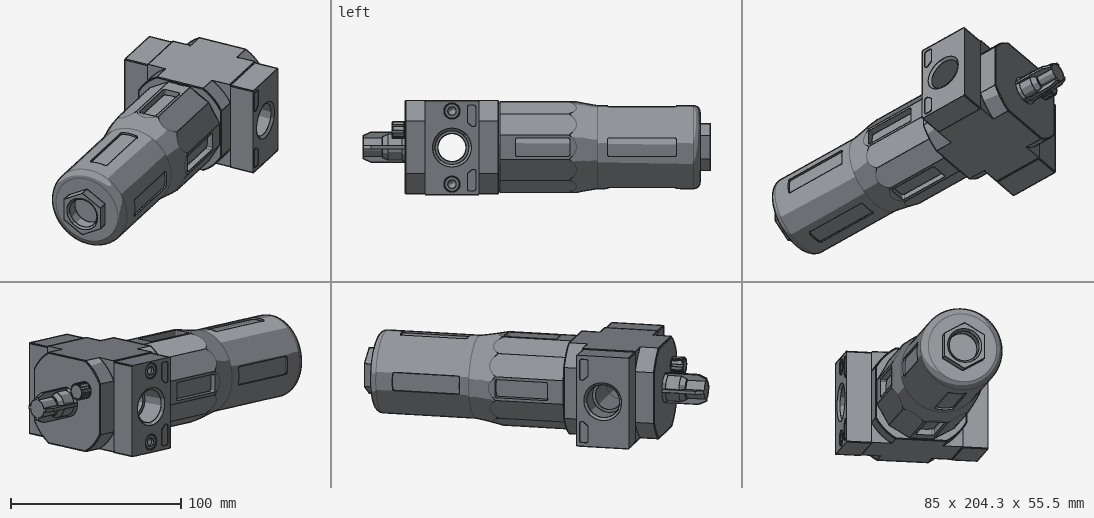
import cadquery as cq
import math


HOUSING_SIZE = 55.0
HOUSING_CORNER_RADIUS = 31.5
HOUSING_END_CHAMFER = 0.5
HOUSING_SIDE_CHAMFER = 0.5
FLOW_BORE_DIAMETER = 16.4
SPIGOT_DIAMETER = 52.0
SPIGOT_LENGTH = 0.6

PLATE_SPAN = 85.0
PLATE_WIDTH = 32.0
PLATE_HEIGHT = 55.0
PLATE_DROP = 0.5
PLATE_CHAMFER = 0.5
PORT_DROP = 0.25
PORT_DIAMETER = 19.8
PORT_CHAMFER = 1.5
SCREW_PITCH = 43.0
SCREW_HOLE_DIAMETER = 9.5
LABEL_DEPTH = 0.3
LABEL_NEAR_Y = -9.0
LABEL_FAR_Y = -14.0
LABEL_INNER_Z = 12.5
LABEL_OUTER_Z = 25.2
LABEL_SLOPE_RISE = 2.6
LABEL_SLOPE_END_Y = -12.0
LABEL_CORNER_RADIUS = 1.2

SCREW_HEAD_DIAMETER = 8.5
SCREW_HEAD_RECESS = 0.4
SCREW_HEAD_HEIGHT = 5.0
SCREW_SOCKET_DIAMETER = 5.0
SCREW_SOCKET_DEPTH = 1.5
DRILL_POINT_ANGLE = 118.0

GUARD_SIDES = 12
GUARD_ACROSS_FLATS = 53.4
GUARD_DIAMETER = 49.0
BOWL_DIAMETER = 46.7
TAPER_START_Y = -68.9
TAPER_END_Y = -85.7
TAPER_MID_RADIUS = 25.9
GUARD_BOTTOM_Y = -146.0
GUARD_BOTTOM_FILLET = 4.0
GUARD_FLOOR = 2.0
BOWL_FILLET = 3.0
WINDOW_WIDTH = 11.0
WINDOW_CORNER_RADIUS = 1.2
WINDOW_SPANS = [(-69.3, -37.3), (-132.0, -91.4)]
HEX_ACROSS_FLATS = 24.0
HEX_TURN = 30.0
HEX_HEIGHT = 6.0
DRAIN_DIAMETER = 18.0
DRAIN_CHAMFER = 1.2

DOME_TIP_Y = 52.3
DOME_TIP_DIAMETER = 11.0
DOME_STEP_Y = 41.2
DOME_SHOULDER_DIAMETER = 12.4
DOME_SHOULDER_Y = 40.8
DOME_BODY_DIAMETER = 15.5
DOME_CONE_END_Y = 37.5
DOME_FLARE_Y = 29.4
DOME_FLARE_DIAMETER = 17.5
FIN_SPAN = 17.8
FIN_TIP_SPAN = 13.6
FIN_SLOPE_END_Y = 47.6
FIN_THICKNESS = 1.9

PLUG_X = -15.75
PLUG_Z = 10.0
PLUG_DIAMETER = 10.0
PLUG_NECK_DIAMETER = 8.5
PLUG_NECK_LENGTH = 0.6
PLUG_TIP_Y = 35.4
PLUG_CHAMFER = 0.6
GROOVE_COUNT = 8
GROOVE_TURN = 12.0
GROOVE_WIDTH = 1.5
GROOVE_BASE_LIP = 0.4

HALF_HOUSING = HOUSING_SIZE / 2
GUARD_TOP_Y = -HALF_HOUSING - SPIGOT_LENGTH
GUARD_CORNER_RADIUS = GUARD_ACROSS_FLATS / 2 / math.cos(math.pi / GUARD_SIDES)
BOWL_BOTTOM_Y = GUARD_BOTTOM_Y + GUARD_FLOOR


def rod(diameter, start_y, end_y):
    """Round rod on the Y axis."""
    plane = cq.Plane(origin=(0, start_y, 0), xDir=(1, 0, 0), normal=(0, 1, 0))
    return cq.Workplane(plane).circle(diameter / 2).extrude(end_y - start_y)


def prism(sides, across_flats, start_y, end_y, turn):
    """Regular prism along Y, turned by an angle in degrees about its axis."""
    plane = cq.Plane(origin=(0, start_y, 0), xDir=(1, 0, 0), normal=(0, 1, 0))
    corner_diameter = across_flats / math.cos(math.pi / sides)
    blank = cq.Workplane(plane).polygon(sides, corner_diameter).extrude(end_y - start_y)
    return blank.rotate((0, 0, 0), (0, 1, 0), turn)


def make_housing():
    """Square block with rounded corners at both ends and a spigot for the guard."""
    ends = cq.Workplane("XY").box(HOUSING_SIZE, HOUSING_SIZE, HOUSING_SIZE)
    ends = ends.intersect(rod(2 * HOUSING_CORNER_RADIUS, -HALF_HOUSING, HALF_HOUSING))
    ends = ends.faces("<Y or >Y").chamfer(HOUSING_END_CHAMFER)
    middle = cq.Workplane("XY").box(HOUSING_SIZE, PLATE_WIDTH, HOUSING_SIZE)
    middle = middle.edges("|Y").chamfer(HOUSING_SIDE_CHAMFER)
    spigot = rod(SPIGOT_DIAMETER, GUARD_TOP_Y, 0)
    bore = cq.Workplane("YZ", origin=(0, 0, -PORT_DROP))
    bore = bore.circle(FLOW_BORE_DIAMETER / 2).extrude(HALF_HOUSING, both=True)
    return ends.union(middle).union(spigot).cut(bore)


def label_pocket(outer_x, side):
    """Shallow label recess; side is 1 above the port and -1 below it."""
    slope_start_z = LABEL_INNER_Z + LABEL_SLOPE_RISE
    outline = [
        (LABEL_NEAR_Y, LABEL_OUTER_Z),
        (LABEL_FAR_Y, LABEL_OUTER_Z),
        (LABEL_FAR_Y, LABEL_INNER_Z),
        (LABEL_SLOPE_END_Y, LABEL_INNER_Z),
        (LABEL_NEAR_Y, slope_start_z),
    ]
    pocket = cq.Workplane("YZ", origin=(outer_x, 0, 0))
    pocket = pocket.polyline([(y, side * z) for y, z in outline]).close().extrude(LABEL_DEPTH)
    return pocket.edges("|X").fillet(LABEL_CORNER_RADIUS)


def make_port_plate():
    """Connection plate on the -X side, without its screw holes."""
    outer_x = -PLATE_SPAN / 2
    thickness = PLATE_SPAN / 2 - HALF_HOUSING
    face = cq.Workplane("YZ", origin=(outer_x, 0, 0))
    plate = face.rect(PLATE_WIDTH, PLATE_HEIGHT).extrude(thickness)
    plate = plate.edges("|X").chamfer(PLATE_CHAMFER)
    port_face = face.center(0, PLATE_DROP - PORT_DROP)
    port = port_face.circle(PORT_DIAMETER / 2).extrude(thickness)
    mouth = port_face.circle(PORT_DIAMETER / 2 + PORT_CHAMFER).extrude(PORT_CHAMFER, taper=45)
    plate = plate.cut(port).cut(mouth)
    for side in (1, -1):
        plate = plate.cut(label_pocket(outer_x, side))
    return plate.translate((0, 0, -PLATE_DROP))


def make_screw(z):
    """Sunk screw head with a drilled socket, at a given height."""
    top_x = -PLATE_SPAN / 2 + SCREW_HEAD_RECESS
    plane = cq.Workplane("YZ", origin=(top_x, 0, z))
    head = plane.circle(SCREW_HEAD_DIAMETER / 2).extrude(SCREW_HEAD_HEIGHT)
    socket = plane.circle(SCREW_SOCKET_DIAMETER / 2).extrude(SCREW_SOCKET_DEPTH)
    point_depth = SCREW_SOCKET_DIAMETER / 2 / math.tan(math.radians(DRILL_POINT_ANGLE / 2))
    point = cq.Solid.makeCone(
        SCREW_SOCKET_DIAMETER / 2, 0, point_depth,
        pnt=cq.Vector(top_x + SCREW_SOCKET_DEPTH, 0, z), dir=cq.Vector(1, 0, 0),
    )
    return head.cut(socket).cut(cq.Workplane(point))


def screw_hole(z):
    """Blind hole that the screw head sits in, at a given height."""
    depth = SCREW_HEAD_RECESS + SCREW_HEAD_HEIGHT
    plane = cq.Workplane("YZ", origin=(-PLATE_SPAN / 2, 0, z))
    return plane.circle(SCREW_HOLE_DIAMETER / 2).extrude(depth)


def window_cutters(low_y, high_y):
    """Two crossed bars that open a window on all four sides."""
    bar = cq.Workplane("XY").box(WINDOW_WIDTH, high_y - low_y, 2 * GUARD_ACROSS_FLATS)
    bar = bar.edges("|Z").fillet(WINDOW_CORNER_RADIUS).translate((0, (low_y + high_y) / 2, 0))
    return bar.union(bar.rotate((0, 0, 0), (0, 1, 0), 90))


def make_guard():
    """Twelve-sided guard that tapers to a round sleeve and ends in a drain hexagon."""
    faceted = prism(GUARD_SIDES, GUARD_ACROSS_FLATS, GUARD_BOTTOM_Y, GUARD_TOP_Y, 180 / GUARD_SIDES)
    taper_middle = (TAPER_MID_RADIUS, (TAPER_START_Y + TAPER_END_Y) / 2)
    envelope = (
        cq.Workplane("XY")
        .moveTo(0, GUARD_TOP_Y)
        .lineTo(GUARD_CORNER_RADIUS, GUARD_TOP_Y)
        .lineTo(GUARD_CORNER_RADIUS, TAPER_START_Y)
        .threePointArc(taper_middle, (GUARD_DIAMETER / 2, TAPER_END_Y))
        .lineTo(GUARD_DIAMETER / 2, GUARD_BOTTOM_Y)
        .lineTo(0, GUARD_BOTTOM_Y)
        .close()
        .revolve(360, (0, 0, 0), (0, 1, 0))
    )
    envelope = envelope.faces("<Y").edges().fillet(GUARD_BOTTOM_FILLET)
    guard = faceted.intersect(envelope)
    hex_end_y = GUARD_BOTTOM_Y - HEX_HEIGHT
    guard = guard.union(prism(6, HEX_ACROSS_FLATS, hex_end_y, GUARD_BOTTOM_Y, HEX_TURN))
    guard = guard.cut(make_bowl())
    for low_y, high_y in WINDOW_SPANS:
        guard = guard.cut(window_cutters(low_y, high_y))
    guard = guard.cut(rod(DRAIN_DIAMETER, hex_end_y, BOWL_BOTTOM_Y))
    mouth = cq.Solid.makeCone(
        DRAIN_DIAMETER / 2 + DRAIN_CHAMFER, DRAIN_DIAMETER / 2, DRAIN_CHAMFER,
        pnt=cq.Vector(0, hex_end_y, 0), dir=cq.Vector(0, 1, 0),
    )
    return guard.cut(cq.Workplane(mouth))


def make_bowl():
    """Inner bowl that shows through the guard windows."""
    blank = rod(BOWL_DIAMETER, BOWL_BOTTOM_Y, GUARD_TOP_Y)
    return blank.faces("<Y").edges().fillet(BOWL_FILLET)


def make_dome():
    """Stepped round sight dome with four fins."""
    core = (
        cq.Workplane("XY")
        .moveTo(0, HALF_HOUSING)
        .lineTo(DOME_FLARE_DIAMETER / 2, HALF_HOUSING)
        .lineTo(DOME_BODY_DIAMETER / 2, DOME_FLARE_Y)
        .lineTo(DOME_BODY_DIAMETER / 2, DOME_CONE_END_Y)
        .lineTo(DOME_SHOULDER_DIAMETER / 2, DOME_SHOULDER_Y)
        .lineTo(DOME_TIP_DIAMETER / 2, DOME_STEP_Y)
        .lineTo(DOME_TIP_DIAMETER / 2, DOME_TIP_Y)
        .lineTo(0, DOME_TIP_Y)
        .close()
        .revolve(360, (0, 0, 0), (0, 1, 0))
    )
    fin_pair = (
        cq.Workplane("XY")
        .moveTo(-FIN_SPAN / 2, HALF_HOUSING)
        .lineTo(FIN_SPAN / 2, HALF_HOUSING)
        .lineTo(FIN_SPAN / 2, FIN_SLOPE_END_Y)
        .lineTo(FIN_TIP_SPAN / 2, DOME_TIP_Y)
        .lineTo(-FIN_TIP_SPAN / 2, DOME_TIP_Y)
        .lineTo(-FIN_SPAN / 2, FIN_SLOPE_END_Y)
        .close()
        .extrude(FIN_THICKNESS / 2, both=True)
    )
    return core.union(fin_pair).union(fin_pair.rotate((0, 0, 0), (0, 1, 0), 90))


def make_plug():
    """Grooved filler plug beside the dome."""
    head_start_y = HALF_HOUSING + PLUG_NECK_LENGTH
    head = rod(PLUG_DIAMETER, head_start_y, PLUG_TIP_Y).faces(">Y").chamfer(PLUG_CHAMFER)
    groove_start_y = head_start_y + GROOVE_BASE_LIP
    groove_depth = (PLUG_DIAMETER - PLUG_NECK_DIAMETER) / 2
    groove = cq.Workplane("XY").box(2 * groove_depth, PLUG_TIP_Y - groove_start_y, GROOVE_WIDTH)
    groove = groove.translate((PLUG_DIAMETER / 2, (groove_start_y + PLUG_TIP_Y) / 2, 0))
    for index in range(GROOVE_COUNT):
        angle = -GROOVE_TURN - index * 360 / GROOVE_COUNT
        head = head.cut(groove.rotate((0, 0, 0), (0, 1, 0), angle))
    neck = rod(PLUG_NECK_DIAMETER, HALF_HOUSING, head_start_y)
    return head.union(neck).translate((PLUG_X, 0, PLUG_Z))


housing = make_housing()
left_plate = make_port_plate()
right_plate = left_plate.mirror("YZ")
screw_heights = [sign * SCREW_PITCH / 2 - PORT_DROP for sign in (1, -1)]
screws = [make_screw(z) for z in screw_heights]
for z in screw_heights:
    left_plate = left_plate.cut(screw_hole(z))
guard = make_guard()
bowl = make_bowl()
dome = make_dome()
plug = make_plug()

result = cq.Compound.makeCompound([
    housing.val(),
    left_plate.val(),
    right_plate.val(),
    *[screw.val() for screw in screws],
    guard.val(),
    bowl.val(),
    dome.val(),
    plug.val(),
])